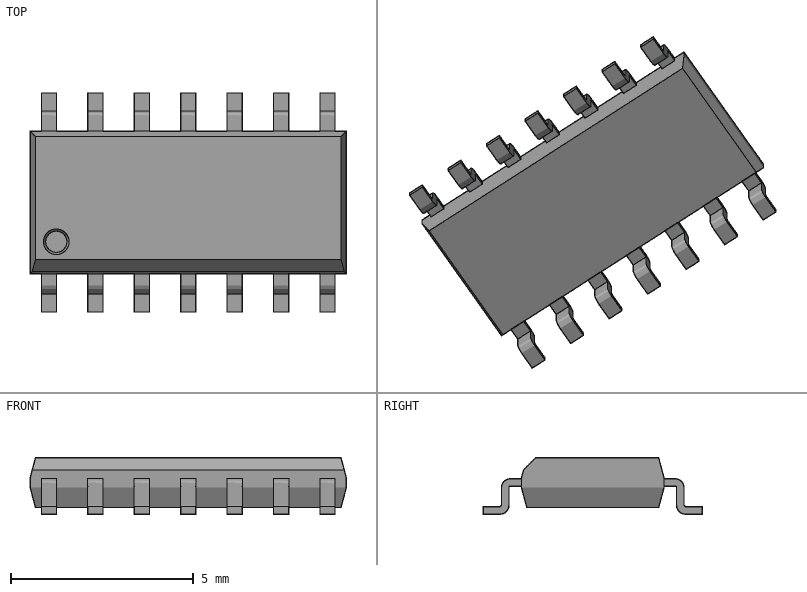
import cadquery as cq
import math

body_length = 8.65
body_width = 3.9
lead_span = 6.0
total_height = 1.55
standoff = 0.18

band_height = 0.29
band_middle = (standoff + total_height) / 2
band_bottom = band_middle - band_height / 2
band_top = band_middle + band_height / 2
draft_angle = 15.0
draft_slope = math.tan(math.radians(draft_angle))

bevel_height = 0.335
bevel_top_inset = 0.39

mark_diameter = 0.70
mark_floor_diameter = 0.58
mark_depth = 0.10
mark_x = -3.61
mark_y = -1.075

leads_per_side = 7
lead_pitch = 1.27
lead_width = 0.42
lead_thickness = 0.21
lead_top = 0.975
lead_overlap = 0.2
foot_length = 0.5
inner_radius = 0.05
outer_radius = 0.25


def extrude_footprint(start_z, height, taper=0):
    """Extrude the body's widest rectangle from start_z, leaning inward by taper degrees."""
    footprint = cq.Workplane("XY", origin=(0, 0, start_z)).rect(body_length, body_width)
    return footprint.extrude(height, taper=taper)


def make_body():
    """Band with a drafted half above it and another below it."""
    band = extrude_footprint(band_bottom, band_height)
    upper = extrude_footprint(band_top, total_height - band_top, draft_angle)
    lower = extrude_footprint(band_bottom, standoff - band_bottom, draft_angle)
    return band.union(upper).union(lower)


def make_bevel_cutter():
    """Triangular prism that removes the top edge of the -Y side."""
    side = -body_width / 2
    bevel_bottom = total_height - bevel_height
    bevel_bottom_inset = (bevel_bottom - band_top) * draft_slope
    bevel_run = bevel_top_inset - bevel_bottom_inset
    outer_y = side + bevel_bottom_inset - bevel_run
    inner_y = side + bevel_top_inset + bevel_run
    clear_z = total_height + bevel_height
    return (
        cq.Workplane("YZ")
        .moveTo(outer_y, bevel_bottom - bevel_height)
        .lineTo(inner_y, clear_z)
        .lineTo(outer_y, clear_z)
        .close()
        .extrude(body_length / 2, both=True)
    )


def make_mark_cutter():
    """Cone frustum, wide at the top face of the body."""
    return (
        cq.Workplane("XY", origin=(mark_x, mark_y, total_height))
        .circle(mark_diameter / 2)
        .workplane(offset=-mark_depth)
        .circle(mark_floor_diameter / 2)
        .loft()
    )


def make_lead():
    """One lead on the -Y side, centred on X = 0."""
    toe = -lead_span / 2
    leg_outside = toe + foot_length
    leg_inside = leg_outside + lead_thickness
    root = -body_width / 2 + lead_overlap
    diagonal = math.cos(math.radians(45))
    heel_y = leg_inside - outer_radius
    shoulder_y = leg_outside + outer_radius
    shoulder_z = lead_top - outer_radius
    instep_y = leg_outside - inner_radius
    instep_z = lead_thickness + inner_radius
    return (
        cq.Workplane("YZ")
        .moveTo(toe, 0)
        .lineTo(heel_y, 0)
        .threePointArc(
            (heel_y + outer_radius * diagonal, outer_radius * (1 - diagonal)),
            (leg_inside, outer_radius),
        )
        .lineTo(leg_inside, lead_top - lead_thickness)
        .lineTo(root, lead_top - lead_thickness)
        .lineTo(root, lead_top)
        .lineTo(shoulder_y, lead_top)
        .threePointArc(
            (shoulder_y - outer_radius * diagonal, shoulder_z + outer_radius * diagonal),
            (leg_outside, shoulder_z),
        )
        .lineTo(leg_outside, instep_z)
        .threePointArc(
            (instep_y + inner_radius * diagonal, instep_z - inner_radius * diagonal),
            (instep_y, lead_thickness),
        )
        .lineTo(toe, lead_thickness)
        .close()
        .extrude(lead_width / 2, both=True)
    )


def add_leads(body):
    """Join a row of evenly pitched leads to each long side."""
    front_lead = make_lead()
    back_lead = front_lead.mirror("XZ")
    for index in range(leads_per_side):
        x = (index - (leads_per_side - 1) / 2) * lead_pitch
        body = body.union(front_lead.translate((x, 0, 0)))
        body = body.union(back_lead.translate((x, 0, 0)))
    return body


bevelled_body = make_body().cut(make_bevel_cutter())
marked_body = bevelled_body.cut(make_mark_cutter())
result = add_leads(marked_body)